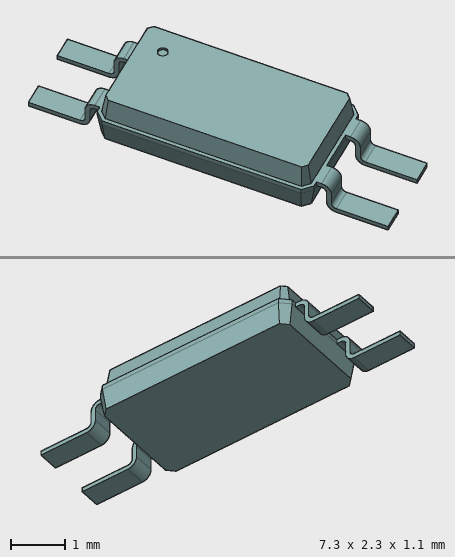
import cadquery as cq
import math

flange_length = 4.4
flange_width = 2.3
flange_corner = 0.18
flange_thickness = 0.1
block_height = 0.45
draft_angle = 9.0
upper_step = 0.075

lead_span = 7.3
lead_width = 0.45
lead_pitch = 1.27
lead_thickness = 0.1
lead_outer_face = 2.5
bend_inner_radius = 0.1
lead_embedment = 0.2

marker_diameter = 0.2
marker_depth = 0.05
marker_x = -1.55
marker_y = 0.5

body_bottom = lead_thickness
flange_bottom = body_bottom + block_height
flange_top = flange_bottom + flange_thickness
body_top = flange_top + block_height


def cut_corner_prism(base_z, height, inset=0.0, taper=0.0):
    """Extrude the flange outline, moved inward by inset; a negative height goes down."""
    corner = flange_corner - inset * (2 - math.sqrt(2))
    half_x = flange_length / 2 - inset
    half_y = flange_width / 2 - inset
    outline = [
        (half_x - corner, half_y),
        (corner - half_x, half_y),
        (-half_x, half_y - corner),
        (-half_x, corner - half_y),
        (corner - half_x, -half_y),
        (half_x - corner, -half_y),
        (half_x, corner - half_y),
        (half_x, half_y - corner),
    ]
    sketch = cq.Workplane("XY").workplane(offset=base_z).polyline(outline).close()
    return sketch.extrude(height, taper=taper)


def make_body():
    flange = cut_corner_prism(flange_bottom, flange_thickness)
    upper_block = cut_corner_prism(flange_top, block_height, upper_step, draft_angle)
    lower_block = cut_corner_prism(flange_bottom, -block_height, taper=draft_angle)
    return flange.union(upper_block).union(lower_block)


def make_lead(center_y):
    """Left-hand lead: flat foot, riser and shoulder joined by two round bends."""
    inner = bend_inner_radius
    outer = inner + lead_thickness
    diagonal = math.sqrt(0.5)
    tip = -lead_span / 2
    root = lead_embedment - flange_length / 2
    riser_left = -lead_outer_face
    riser_right = riser_left + lead_thickness
    foot_x = riser_left - inner
    foot_z = outer
    shoulder_x = riser_right + inner
    shoulder_z = flange_top - outer
    profile = (
        cq.Workplane("XZ", origin=(0, center_y, 0))
        .moveTo(tip, 0)
        .lineTo(foot_x, 0)
        .threePointArc(
            (foot_x + outer * diagonal, foot_z - outer * diagonal),
            (riser_right, foot_z),
        )
        .lineTo(riser_right, shoulder_z)
        .threePointArc(
            (shoulder_x - inner * diagonal, shoulder_z + inner * diagonal),
            (shoulder_x, flange_bottom),
        )
        .lineTo(root, flange_bottom)
        .lineTo(root, flange_top)
        .lineTo(shoulder_x, flange_top)
        .threePointArc(
            (shoulder_x - outer * diagonal, shoulder_z + outer * diagonal),
            (riser_left, shoulder_z),
        )
        .lineTo(riser_left, foot_z)
        .threePointArc(
            (foot_x + inner * diagonal, foot_z - inner * diagonal),
            (foot_x, lead_thickness),
        )
        .lineTo(tip, lead_thickness)
        .close()
    )
    return profile.extrude(lead_width / 2, both=True)


def make_marker():
    floor = cq.Workplane("XY", origin=(marker_x, marker_y, body_top - marker_depth))
    return floor.circle(marker_diameter / 2).extrude(marker_depth)


result = make_body()
for side in (-1, 1):
    lead = make_lead(side * lead_pitch / 2)
    result = result.union(lead).union(lead.mirror("YZ"))
result = result.cut(make_marker())